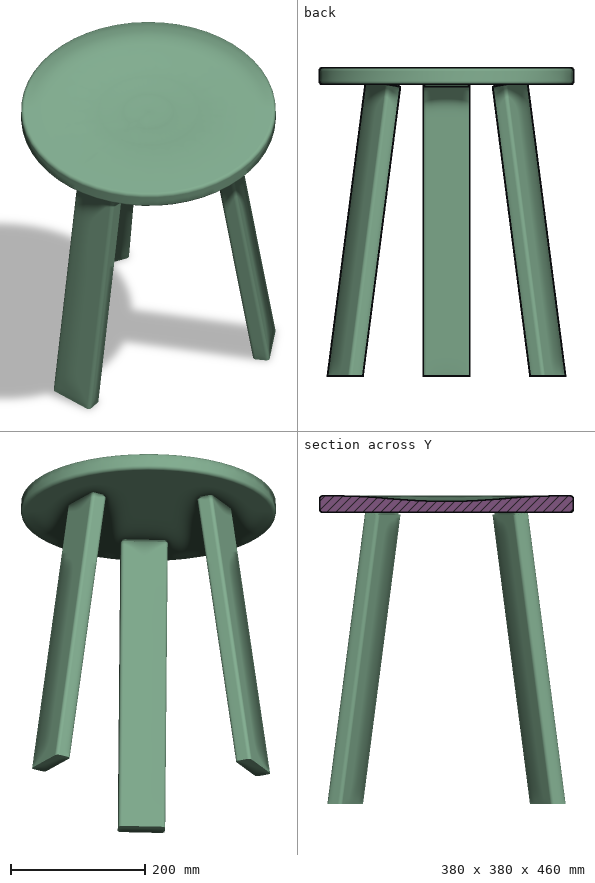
import cadquery as cq
import math

STOOL_HEIGHT = 460.0

SEAT_RADIUS = 190.0
SEAT_THICKNESS = 25.0
SEAT_RIM_FILLET = 5.0
DISH_RADIUS = 160.0
BOWL_RADIUS = 75.0
BOWL_EDGE_DEPTH = 5.0
BOWL_EDGE_SLOPE = 5.0

LEG_COUNT = 3
LEG_WIDTH = 70.0
LEG_THICKNESS = 25.0
LEG_EDGE_FILLET = 5.0
LEG_SPLAY = 8.5
LEG_TOP_OFFSET = 109.5

TENON_WIDTH = 67.0
TENON_THICKNESS = 20.0
TENON_CORNER_RADIUS = 5.0

seat_bottom = STOOL_HEIGHT - SEAT_THICKNESS
splay = math.radians(LEG_SPLAY)

leg_direction = cq.Vector(0, math.sin(splay), math.cos(splay))
along_leg = cq.selectors.ParallelDirSelector(leg_direction)

shoulder_drop = LEG_THICKNESS / 2 * math.sin(splay)
shoulder_offset = LEG_TOP_OFFSET + shoulder_drop * math.tan(splay)
shoulder_height = seat_bottom - shoulder_drop

leg_blank_length = STOOL_HEIGHT / math.cos(splay)
tenon_blank_length = 2 * SEAT_THICKNESS


def make_seat_board():
    """Revolved board: a level rim, a smooth blend and a central spherical bowl."""
    bowl_slope = math.radians(BOWL_EDGE_SLOPE)
    bowl_arc_radius = BOWL_RADIUS / math.sin(bowl_slope)
    bowl_edge_z = STOOL_HEIGHT - BOWL_EDGE_DEPTH
    bowl_centre_z = bowl_edge_z + bowl_arc_radius * math.cos(bowl_slope)
    bowl_floor = (0, bowl_centre_z - bowl_arc_radius)
    bowl_mid = (
        -bowl_arc_radius * math.sin(bowl_slope / 2),
        bowl_centre_z - bowl_arc_radius * math.cos(bowl_slope / 2),
    )

    rim_tangent = (1, 0)
    bowl_tangent = (math.cos(bowl_slope), -math.sin(bowl_slope))

    board = (
        cq.Workplane("YZ")
        .moveTo(0, seat_bottom)
        .lineTo(-SEAT_RADIUS, seat_bottom)
        .lineTo(-SEAT_RADIUS, STOOL_HEIGHT)
        .lineTo(-DISH_RADIUS, STOOL_HEIGHT)
        .spline(
            [(-BOWL_RADIUS, bowl_edge_z)],
            tangents=[rim_tangent, bowl_tangent],
            includeCurrent=True,
        )
        .threePointArc(bowl_mid, bowl_floor)
        .close()
        .revolve(360, (0, 0, 0), (0, 1, 0))
    )
    return board.faces("%CYLINDER").edges("%CIRCLE").fillet(SEAT_RIM_FILLET)


def shoulder_plane():
    """Workplane on the shoulder of the front (-Y) leg, its normal running up the leg."""
    return cq.Workplane(
        cq.Plane(
            origin=(0, -shoulder_offset, shoulder_height),
            xDir=(1, 0, 0),
            normal=leg_direction,
        )
    )


def make_tenon_blank():
    """Rounded tenon bar, long enough to pass through the seat."""
    return (
        shoulder_plane()
        .rect(TENON_WIDTH, TENON_THICKNESS)
        .extrude(tenon_blank_length)
        .edges(along_leg)
        .fillet(TENON_CORNER_RADIUS)
    )


def make_leg(seat_board):
    """Front leg: a bar cut level at the floor, with a tenon ending flush in the dish."""
    bar = (
        shoulder_plane()
        .rect(LEG_WIDTH, LEG_THICKNESS)
        .extrude(-leg_blank_length)
        .edges(along_leg)
        .fillet(LEG_EDGE_FILLET)
    )
    above_floor = cq.Workplane("XY").circle(2 * SEAT_RADIUS).extrude(STOOL_HEIGHT)
    under_seat = cq.Workplane("XY").circle(SEAT_RADIUS).extrude(seat_bottom)
    trimmed_tenon = make_tenon_blank().intersect(under_seat.union(seat_board))
    return bar.intersect(above_floor).union(trimmed_tenon)


def around_stool(body, index):
    """Turn a body to the position of the given leg."""
    return body.rotate((0, 0, 0), (0, 0, 1), index * 360 / LEG_COUNT)


seat_board = make_seat_board()
front_leg = make_leg(seat_board)
legs = [around_stool(front_leg, index) for index in range(LEG_COUNT)]

seat = seat_board
for index in range(LEG_COUNT):
    seat = seat.cut(around_stool(make_tenon_blank(), index))

result = cq.Compound.makeCompound([seat.val(), *[leg.val() for leg in legs]])